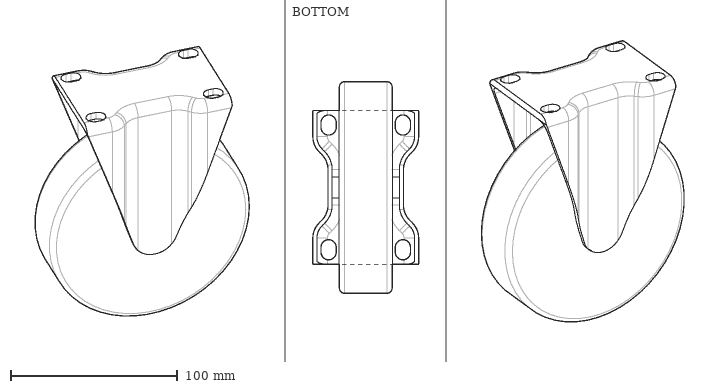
import cadquery as cq
import math

TOTAL_HEIGHT = 157.2
BRACKET_WIDTH = 63.5
BRACKET_LENGTH = 92.1

WHEEL_DIAMETER = 127.0
WHEEL_WIDTH = 31.7
WHEEL_EDGE_RADIUS = 3.3
HUB_DIAMETER = 12.5
AXLE_HEIGHT = WHEEL_DIAMETER / 2

PLATE_THICKNESS = 4.7
WALL_THICKNESS = 2.5
OUTER_BEND_RADIUS = 6.3
INNER_BEND_RADIUS = 6.3

WAIST_WIDTH = 45.3
WAIST_HALF_LENGTH = 10.7
S_BEND_ANGLE = math.radians(45)
S_BEND_LENGTH = 19.6
S_BEND_STEP = (BRACKET_WIDTH - WAIST_WIDTH) / 2

TAB_RADIUS = 14.1

SLOT_WIDTH = 9.0
SLOT_LENGTH = 12.0
SLOT_SPACING_X = 44.5
SLOT_SPACING_Y = 74.7

INNER_WAIST_WIDTH = WAIST_WIDTH - 2 * WALL_THICKNESS


def s_bend_radius():
    """Radius of both arcs of the outer S-bend, which are joined by a short straight stretch."""
    sine, cosine = math.sin(S_BEND_ANGLE), math.cos(S_BEND_ANGLE)
    return (S_BEND_LENGTH * sine - S_BEND_STEP * cosine) / (2 * (1 - cosine))


def waisted_block(inset, top):
    """Block with the bracket's plan outline, moved inward by inset, from the ground to top."""
    radius = s_bend_radius()
    convex, concave = radius - inset, radius + inset
    half_angle = S_BEND_ANGLE / 2
    wide_x = BRACKET_WIDTH / 2 - inset
    waist_x = WAIST_WIDTH / 2 - inset
    end_y = BRACKET_LENGTH / 2
    convex_y = WAIST_HALF_LENGTH + S_BEND_LENGTH
    concave_y = WAIST_HALF_LENGTH

    def on_convex(angle):
        return (wide_x - convex * (1 - math.cos(angle)), convex_y - convex * math.sin(angle))

    def on_concave(angle):
        return (waist_x + concave * (1 - math.cos(angle)), concave_y + concave * math.sin(angle))

    quarter = (
        cq.Workplane("XY")
        .moveTo(0, 0)
        .lineTo(waist_x, 0)
        .lineTo(*on_concave(0))
        .threePointArc(on_concave(half_angle), on_concave(S_BEND_ANGLE))
        .lineTo(*on_convex(S_BEND_ANGLE))
        .threePointArc(on_convex(half_angle), on_convex(0))
        .lineTo(wide_x, end_y)
        .lineTo(0, end_y)
        .close()
        .extrude(top)
    )
    half = quarter.union(quarter.mirror("XZ"))
    return half.union(half.mirror("YZ")).clean()


def round_long_top_edges(block, radius):
    """Round the top edges along both walls, leaving the two straight end edges sharp."""
    long_edges = block.faces(">Z").edges("not(<Y or >Y)")
    return block.newObject(long_edges.vals()).fillet(radius)


def side_outline():
    """Block with the bracket's side shape: sides tapering down to a round end about the axle."""
    corner_y = BRACKET_LENGTH / 2
    corner_z = TOTAL_HEIGHT - PLATE_THICKNESS
    rise = corner_z - AXLE_HEIGHT
    corner_distance = math.hypot(corner_y, rise)
    tangent_angle = math.atan2(rise, corner_y) - math.acos(TAB_RADIUS / corner_distance)
    tangent_y = TAB_RADIUS * math.cos(tangent_angle)
    tangent_z = AXLE_HEIGHT + TAB_RADIUS * math.sin(tangent_angle)
    return (
        cq.Workplane("YZ")
        .moveTo(-corner_y, TOTAL_HEIGHT)
        .lineTo(-corner_y, corner_z)
        .lineTo(-tangent_y, tangent_z)
        .threePointArc((0, AXLE_HEIGHT - TAB_RADIUS), (tangent_y, tangent_z))
        .lineTo(corner_y, corner_z)
        .lineTo(corner_y, TOTAL_HEIGHT)
        .close()
        .extrude(BRACKET_WIDTH / 2, both=True)
    )


def mounting_slots():
    """Cutters for the four slots, deep enough to pass the plate and its inner bends."""
    return (
        cq.Workplane("XY", origin=(0, 0, TOTAL_HEIGHT))
        .rarray(SLOT_SPACING_X, SLOT_SPACING_Y, 2, 2)
        .slot2D(SLOT_LENGTH, SLOT_WIDTH, 90)
        .extrude(-(PLATE_THICKNESS + INNER_BEND_RADIUS))
    )


def make_bracket():
    outside = round_long_top_edges(waisted_block(0, TOTAL_HEIGHT), OUTER_BEND_RADIUS)
    inside = round_long_top_edges(
        waisted_block(WALL_THICKNESS, TOTAL_HEIGHT - PLATE_THICKNESS), INNER_BEND_RADIUS
    )
    return outside.cut(inside).intersect(side_outline()).cut(mounting_slots())


def axle_cylinder(diameter, length):
    """Cylinder about the wheel's axis, centred on the bracket."""
    return (
        cq.Workplane("YZ", origin=(-length / 2, 0, AXLE_HEIGHT))
        .circle(diameter / 2)
        .extrude(length)
    )


def make_wheel():
    tread = axle_cylinder(WHEEL_DIAMETER, WHEEL_WIDTH).faces("|X").edges().fillet(WHEEL_EDGE_RADIUS)
    hub = axle_cylinder(HUB_DIAMETER, INNER_WAIST_WIDTH)
    return tread.union(hub)


bracket = make_bracket()
wheel = make_wheel()

result = cq.Compound.makeCompound([bracket.val(), wheel.val()])